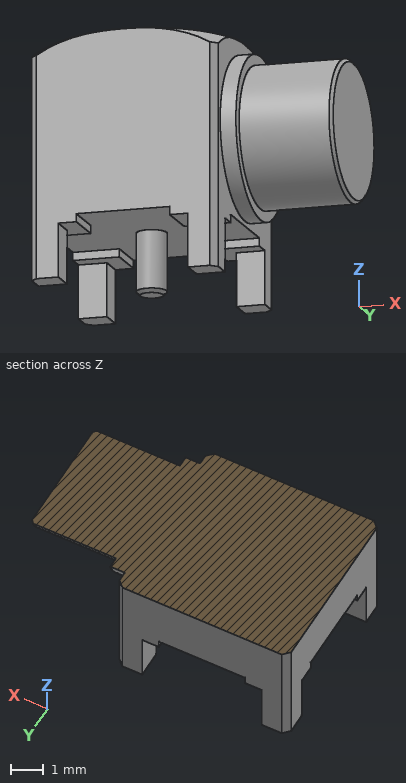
import cadquery as cq
import math

body_side = 6.0
body_height = 7.73
edge_chamfer = 0.22

crown_radius = 3.0
crown_start_angle = math.radians(18)
crown_end_angle = math.radians(46)

leg_side = 0.92
leg_height = 1.71
pad_side = 1.5
underside_height = 1.97

pin_diameter = 0.96
pin_chamfer = 0.11

total_length = 9.5
connector_height = 4.72
flange_diameter = 5.2
flange_thickness = 0.5
barrel_diameter = 4.5
barrel_chamfer = 0.1

half_side = body_side / 2


def make_block():
    """Square block with chamfered vertical edges."""
    block = cq.Workplane("XY").rect(body_side, body_side).extrude(body_height)
    return block.edges("|Z").chamfer(edge_chamfer)


def make_crown_envelope():
    """Cylinder with a convex rounded shoulder that trims the upper corners of the block."""
    centre_x = half_side - crown_radius * math.sin(crown_start_angle)
    centre_z = body_height - crown_radius * math.cos(crown_start_angle)

    def crown_point(angle):
        x = centre_x + crown_radius * math.sin(angle)
        z = centre_z + crown_radius * math.cos(angle)
        return (x, z)

    middle = crown_point((crown_start_angle + crown_end_angle) / 2)
    end = crown_point(crown_end_angle)
    return (
        cq.Workplane("XZ")
        .lineTo(0, body_height)
        .lineTo(half_side, body_height)
        .threePointArc(middle, end)
        .lineTo(end[0], 0)
        .close()
        .revolve(360, (0, 0, 0), (0, 1, 0))
    )


def make_cross_channel(corner_side, height):
    """Crossing channels along X and Y that leave a square at each corner."""
    width = body_side - 2 * corner_side
    along_x = cq.Workplane("XY").rect(body_side, width).extrude(height)
    along_y = cq.Workplane("XY").rect(width, body_side).extrude(height)
    return along_x.union(along_y)


def make_pin():
    """Round pin with a chamfered tip, level with the feet."""
    pin = cq.Workplane("XY").circle(pin_diameter / 2).extrude(underside_height)
    return pin.faces("<Z").chamfer(pin_chamfer)


def make_connector():
    """Flange and barrel on the +X face of the housing."""
    face = cq.Workplane("YZ", origin=(half_side, 0, connector_height))
    flange = face.circle(flange_diameter / 2).extrude(flange_thickness)
    barrel = face.circle(barrel_diameter / 2).extrude(total_length - body_side)
    barrel = barrel.faces(">X").edges().chamfer(barrel_chamfer)
    return flange.union(barrel)


housing = make_block().intersect(make_crown_envelope())
housing = housing.cut(make_cross_channel(leg_side, leg_height))
housing = housing.cut(make_cross_channel(pad_side, underside_height))

result = housing.union(make_pin()).union(make_connector())